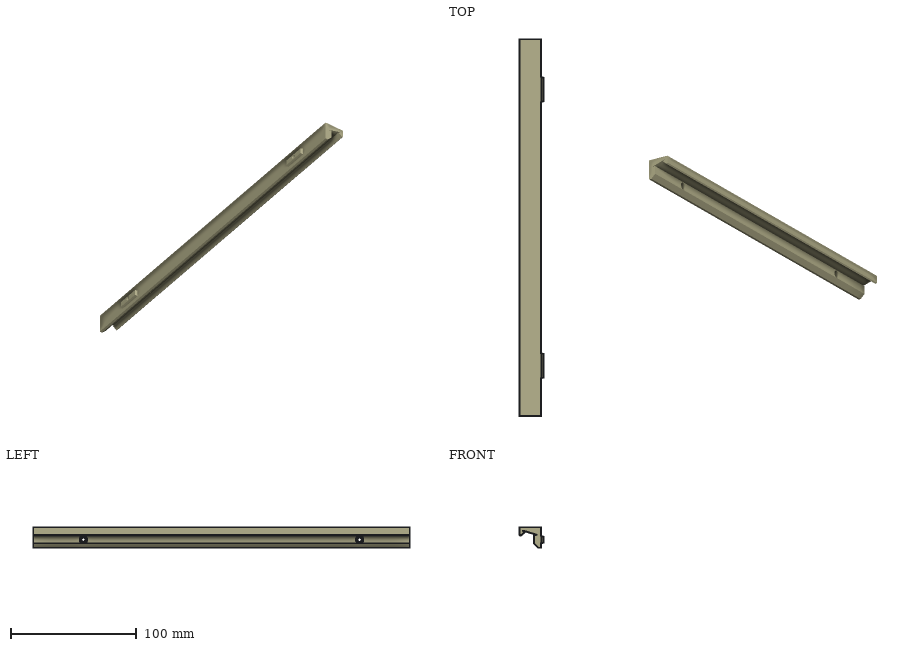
import cadquery as cq
import math

length = 300.0
body_width = 17.5
height = 16.5

lip_outer_height = 6.0
lip_tip_x = 1.0
lip_tip_depth = 7.0
lip_crest_x = 4.5
lip_crest_depth = 4.0

floor_start_x = 2.7
floor_start_depth = 2.7
floor_end_x = 13.8
floor_slope = 17.0

leg_thickness = 5.7
leg_top_depth = 6.3
foot_thickness = 2.0
foot_bevel_height = 3.5

pad_thickness = 2.0
pad_length = 19.8
pad_height = 5.7
pad_taper = 12.0
hole_spacing = 220.0
hole_depth_from_top = 10.0
hole_diameter = 3.3
counterbore_diameter = 6.0
counterbore_depth = 2.7

leg_x = body_width - leg_thickness
foot_x = body_width - foot_thickness
floor_end_depth = floor_start_depth + (floor_end_x - floor_start_x) * math.tan(math.radians(floor_slope))
hole_z = -hole_depth_from_top
hole_positions = [-hole_spacing / 2, hole_spacing / 2]


def make_profile_bar():
    """Extrude the hooked section, centred on Y = 0, with its top face at Z = 0."""
    outline = [
        (0, 0),
        (body_width, 0),
        (body_width, -height),
        (foot_x, -height),
        (leg_x, -height + foot_bevel_height),
        (leg_x, -leg_top_depth),
        (floor_end_x, -floor_end_depth),
        (floor_start_x, -floor_start_depth),
        (lip_crest_x, -lip_crest_depth),
        (lip_tip_x, -lip_tip_depth),
        (0, -lip_outer_height),
    ]
    return cq.Workplane("XZ").polyline(outline).close().extrude(length / 2, both=True)


def make_pad(y):
    """Rectangular pad with drafted sides on the +X face, centred on a screw hole."""
    face = cq.Workplane("YZ", origin=(body_width, y, hole_z))
    return face.rect(pad_length, pad_height).extrude(pad_thickness, taper=pad_taper)


def make_hole(y):
    """Counterbored screw hole entering from the -X side of the leg."""
    face = cq.Workplane("YZ", origin=(leg_x, y, hole_z))
    shank = face.circle(hole_diameter / 2).extrude(leg_thickness + pad_thickness)
    head = face.circle(counterbore_diameter / 2).extrude(counterbore_depth)
    return shank.union(head)


result = make_profile_bar()
for hole_y in hole_positions:
    result = result.union(make_pad(hole_y)).cut(make_hole(hole_y))